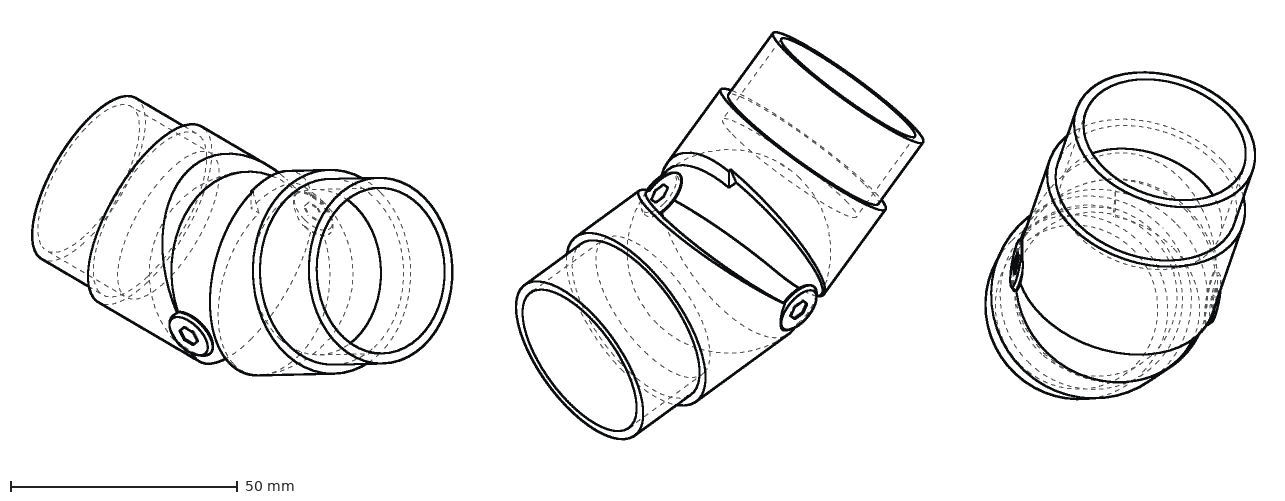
import cadquery as cq
import math

overall_length = 93.3
collar_diameter = 45.0
bend_angle = 37.0
mitre_angle = 38.0
spigot_length = 17.0
left_spigot_diameter = 41.1
left_bore_diameter = 36.8
right_spigot_diameter = 40.9
right_bore_diameter = 36.5
bore_depth = 22.1
relief_top_setback = 17.5
cap_base_diameter = 12.1
cap_chamfer = 0.7
cap_face_distance = 45.2 / 2
hex_across_corners = 4.9
hex_depth = 0.3

ball_radius = collar_diameter / 2
bend = math.radians(bend_angle)
arm_length = (overall_length - right_spigot_diameter / 2 * math.sin(bend)) / (1 + math.cos(bend))
shoulder = arm_length - spigot_length
cutter_size = 3 * overall_length


def rod(diameter, start, end):
    """Cylinder along +X between two distances from the pivot."""
    return cq.Workplane("YZ").workplane(offset=start).circle(diameter / 2).extrude(end - start)


def tilt(shape):
    """Swing a shape upward about the pivot axis, turning +X toward +Z."""
    return shape.rotate((0, 0, 0), (0, 1, 0), -bend_angle)


def prism(points):
    """Wide prism across the whole part from an outline in the XZ plane."""
    return cq.Workplane("XZ").polyline(points).close().extrude(cutter_size / 2, both=True)


def make_cap(side):
    """Chamfered pivot cap on the pivot axis; side is -1 or +1 along Y."""
    cap = (
        cq.Workplane("XY")
        .circle(cap_base_diameter / 2)
        .extrude(cap_face_distance)
        .faces(">Z")
        .chamfer(cap_chamfer)
    )
    return cap.rotate((0, 0, 0), (1, 0, 0), -90 * side)


def make_hex_socket(side):
    """Shallow hexagon cutter at a cap face."""
    start = cap_face_distance - hex_depth
    socket = cq.Workplane("XY").workplane(offset=start).polygon(6, hex_across_corners).extrude(hex_depth)
    return socket.rotate((0, 0, 0), (1, 0, 0), -90 * side)


def make_pivot():
    """Ball with a cap at each end of the pivot axis."""
    pivot = cq.Workplane("XY").sphere(ball_radius)
    for side in (-1, 1):
        pivot = pivot.union(make_cap(side))
    return pivot


def make_ball_arm():
    """Left arm: mitred collar, spigot and bore, carrying the ball and its caps."""
    arm = rod(collar_diameter, -shoulder, 0)
    slope_run = cutter_size * math.tan(math.radians(mitre_angle))
    arm = arm.cut(prism([(0, 0), (0, cutter_size), (-slope_run, cutter_size)]))
    arm = arm.union(rod(left_spigot_diameter, -arm_length, -shoulder))
    arm = arm.union(make_pivot())
    arm = arm.cut(rod(left_bore_diameter, -arm_length, bore_depth - arm_length))
    for side in (-1, 1):
        arm = arm.cut(make_hex_socket(side))
    return arm


def make_socket_arm():
    """Right arm: collar hollowed to fit the ball, spigot and bore, tilted to the bend angle."""
    arc_middle = ball_radius * math.sqrt(0.5)
    collar = (
        cq.Workplane("XY")
        .moveTo(0, ball_radius)
        .threePointArc((arc_middle, arc_middle), (ball_radius, 0))
        .lineTo(shoulder, 0)
        .lineTo(shoulder, ball_radius)
        .close()
        .revolve(360, (0, 0, 0), (1, 0, 0))
    )
    arm = collar.union(rod(right_spigot_diameter, shoulder, arm_length))
    arm = arm.cut(rod(right_bore_diameter, arm_length - bore_depth, arm_length))

    relief = prism(
        [
            (0, -ball_radius),
            (2 * relief_top_setback, 3 * ball_radius),
            (-cutter_size, 3 * ball_radius),
            (-cutter_size, -ball_radius),
        ]
    )
    front_half = cq.Workplane("XY").box(
        cutter_size, cutter_size, cutter_size, centered=(True, False, True)
    ).translate((0, -cutter_size, 0))
    arm = tilt(arm.cut(relief.intersect(front_half)))

    stop = cq.Workplane("XY").box(cutter_size, cutter_size, cutter_size, centered=(False, False, True))
    arm = arm.cut(stop.translate((-cutter_size, 0, 0)))
    for side in (-1, 1):
        arm = arm.cut(make_cap(side))
    return arm


ball_arm = make_ball_arm()
socket_arm = make_socket_arm()
result = cq.Compound.makeCompound([ball_arm.solids().val(), socket_arm.solids().val()])